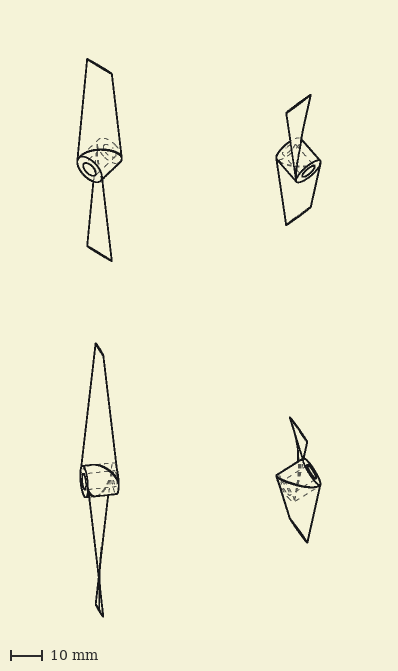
import cadquery as cq
import math

SPAN = 90.0
HUB_DIAMETER = 10.0
HUB_LENGTH = 10.0
BORE_DIAMETER = 5.0
BLADE_THICKNESS = 0.4
ROOT_ANGLE = 45.0

TIP_HALF_CHORD = HUB_DIAMETER / 2
HALF_THICKNESS = BLADE_THICKNESS / 2
ROOT_HALF_CHORD = math.sqrt(
    TIP_HALF_CHORD**2 - (HALF_THICKNESS * math.sin(math.radians(ROOT_ANGLE))) ** 2
) / math.cos(math.radians(ROOT_ANGLE))


def cylinder_along_y(diameter):
    return cq.Workplane("XZ").circle(diameter / 2).extrude(HUB_LENGTH / 2, both=True)


upper_blade = (
    cq.Workplane("XY")
    .ellipse(ROOT_HALF_CHORD, HALF_THICKNESS, rotation_angle=ROOT_ANGLE)
    .workplane(offset=SPAN / 2)
    .ellipse(TIP_HALF_CHORD, HALF_THICKNESS)
    .loft(ruled=True)
)

lower_blade = upper_blade.rotate((0, 0, 0), (0, 1, 0), 180)

hub = cylinder_along_y(HUB_DIAMETER)
bore = cylinder_along_y(BORE_DIAMETER)

result = hub.union(upper_blade).union(lower_blade).cut(bore)